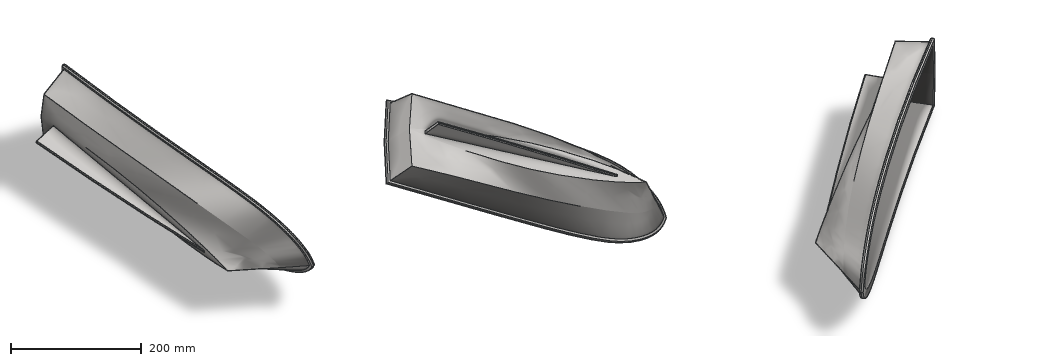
import cadquery as cq
import math


length = 509.0
stern_sheer = 102.5
bow_sheer = 111.0
sheer_sag = 8.5

rail_overhang = 4.5
rail_height = 6.0
rail_bevel = 1.0
rail_seat = 0.5
wall = 4.0
cavity_rise = 10.0

stem_top_x = 504.0
bow_offset_ratio = (length - stem_top_x) / rail_overhang
stem_inset_ratio = 1.5
forefoot = (417.0, 13.5)

transom_top_x = 4.5
transom_foot = (9.5, 41.5)

sheer_breadths = [(8.0, 66.0), (132.5, 71.5), (254.5, 73.5), (366.5, 69.5), (426.5, 59.5), (463.5, 44.5), (486.5, 27.5)]
chine_points = [(15.0, 43.0, 61.5), (137.5, 44.0, 59.0), (254.5, 47.5, 55.5), (343.5, 53.0, 47.0),
                (404.5, 59.5, 36.0), (438.5, 64.5, 26.0)]
chine_end_height = 72.5
flat_breadths = [(74.0, 11.5), (147.5, 19.5), (224, 22.5), (294.0, 19.5), (356.0, 12.5)]

keel_thickness = 4.5
keel_chamfer = 1.5
keel_heel = (36.5, 0.0)
keel_middle = (229.0, 7.0)
keel_toe = (366.5, 16.5)


def sheer_height(x):
    """Height of the rail top at x."""
    t = x / length
    return stern_sheer + (bow_sheer - stern_sheer) * t - 4 * sheer_sag * t * (1 - t)


def flat_height(x):
    """Height at x of the flat strip, which runs straight from transom foot to forefoot."""
    slope = (forefoot[1] - transom_foot[1]) / (forefoot[0] - transom_foot[0])
    return transom_foot[1] + slope * (x - transom_foot[0])


def stem_x(height):
    """Position of the stem line at a height."""
    slope = (stem_top_x - forefoot[0]) / (sheer_height(stem_top_x) - rail_height - forefoot[1])
    return forefoot[0] + slope * (height - forefoot[1])


def mirrored(points):
    """Points reflected to the other side of the boat."""
    return [(x, y, -z) for x, y, z in points]


def spline(points):
    """Smooth edge through points."""
    return cq.Edge.makeSpline([cq.Vector(*p) for p in points])


def ruled(first, second):
    """Face of straight lines between two edges."""
    return cq.Face.makeRuledSurface(first, second)



def half_outlines(level):
    """Stern edge and side edge of a level, for both sides of the boat."""
    halves = []
    for points in (level, mirrored(level)):
        stern_edge = cq.Edge.makeLine(cq.Vector(*points[0]), cq.Vector(*points[1]))
        halves.append((stern_edge, spline(points[1:])))
    return halves


def skin(upper, lower):
    """Stern and side faces between two levels."""
    faces = []
    for upper_half, lower_half in zip(half_outlines(upper), half_outlines(lower)):
        faces += [ruled(high, low) for high, low in zip(upper_half, lower_half)]
    return faces


def cap(level):
    """Faces that close a level from side to side."""
    (port_stern, port_side), (starboard_stern, starboard_side) = half_outlines(level)
    across = cq.Edge.makeLine(port_side.startPoint(), starboard_side.startPoint())
    triangle = cq.Wire.assembleEdges([port_stern, across, starboard_stern])
    return [ruled(port_side, starboard_side), cq.Face.makeFromWires(triangle)]


def solid_from(faces):
    """Solid enclosed by faces."""
    return cq.Workplane(cq.Solid.makeSolid(cq.Shell.makeShell(faces)))


def sheer_level(overhang, shift):
    """Sheer outline pushed outwards by overhang, square to its run, and moved by shift along Y."""
    (corner_x, corner_z), *side = sheer_breadths
    outline = [(transom_top_x - overhang, 0), (corner_x - overhang, corner_z + overhang)]
    following = side[1:] + [(stem_top_x, 0)]
    for (x, z), (x1, z1), (x2, z2) in zip(side, sheer_breadths, following):
        run = math.hypot(x2 - x1, z2 - z1)
        outline.append((x - overhang * (z2 - z1) / run, z + overhang * (x2 - x1) / run))
    outline.append((stem_top_x + overhang * bow_offset_ratio, 0))
    return [(x, sheer_height(x) + shift, z) for x, z in outline]


def hull_body(inset, sheer_shift):
    """Closed hull shape, moved inwards by inset, its top edge sheer_shift away from the rail top."""
    stem_inset = inset * stem_inset_ratio
    sheer = sheer_level(-inset, sheer_shift)
    flat = [(x, flat_height(x) + inset, z) for x, z in flat_breadths]
    flat.insert(0, (transom_foot[0] + inset, transom_foot[1] + inset, 0))
    flat.append((forefoot[0] - stem_inset, forefoot[1] + inset, 0))
    chine = [(x, y + inset, z - inset) for x, y, z in chine_points]
    corner_x, corner_y, corner_z = chine[0]
    chine[0] = (corner_x + inset, corner_y, corner_z)
    chine.insert(0, flat[0])
    chine.append((stem_x(chine_end_height) - stem_inset, chine_end_height, 0))

    faces = cap(sheer) + skin(sheer, chine)
    faces.append(ruled(spline(flat), spline(mirrored(flat))))
    for (_, chine_edge), points in zip(half_outlines(chine), (flat, mirrored(flat))):
        faces.append(ruled(chine_edge, spline(points)))
    return solid_from(faces)


def rail_plate():
    """Plate in the outline of the rail, its rim coming to a ridge at mid height."""
    top = sheer_level(rail_overhang - rail_bevel, 0)
    ridge = sheer_level(rail_overhang, -rail_height / 2)
    bottom = sheer_level(rail_overhang - rail_bevel, -rail_height)
    return solid_from(cap(top) + skin(top, ridge) + skin(ridge, bottom) + cap(bottom))


def keel():
    """Thin plate under the flat strip, with its bottom edges chamfered."""
    root = wall / 2
    heel_x, toe_x = keel_heel[0], keel_toe[0]
    profile = (
        cq.Workplane("XY")
        .moveTo(*keel_heel)
        .threePointArc(keel_middle, keel_toe)
        .lineTo(toe_x, flat_height(toe_x) + root)
        .lineTo(heel_x, flat_height(heel_x) + root)
        .close()
    )
    plate = profile.extrude(keel_thickness / 2, both=True)
    return plate.edges("%CIRCLE").chamfer(keel_chamfer)


outer_hull = hull_body(0, rail_seat - rail_height).union(rail_plate())
open_hull = outer_hull.cut(hull_body(wall, cavity_rise))
result = open_hull.union(keel())